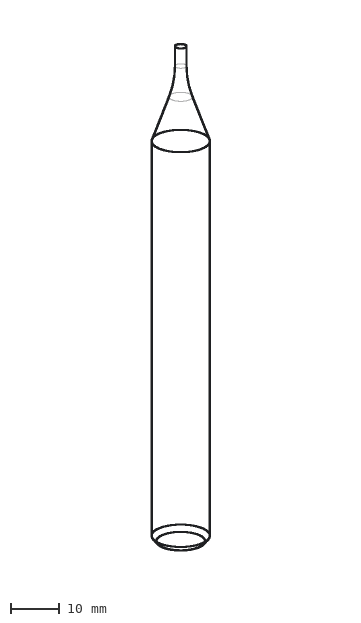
import cadquery as cq
import math

total_length = 110.0
shank_diameter = 12.0
tip_diameter = 2.4
tip_length = 4.4
neck_arc_radius = 20.0
cone_half_angle = math.radians(20)
chamfer_height = 1.2
chamfer_inset = 1.0

shank_radius = shank_diameter / 2
tip_radius = tip_diameter / 2


def neck_arc_point(angle):
    """Radius and height on the concave neck after turning by angle from the tip wall."""
    radius = tip_radius + neck_arc_radius * (1 - math.cos(angle))
    height = total_length - tip_length - neck_arc_radius * math.sin(angle)
    return radius, height


neck_top = neck_arc_point(0)
neck_middle = neck_arc_point(cone_half_angle / 2)
neck_bottom = neck_arc_point(cone_half_angle)
cone_height = (shank_radius - neck_bottom[0]) / math.tan(cone_half_angle)
shank_top = neck_bottom[1] - cone_height

half_profile = (
    cq.Workplane("XZ")
    .lineTo(shank_radius - chamfer_inset, 0)
    .lineTo(shank_radius, chamfer_height)
    .lineTo(shank_radius, shank_top)
    .lineTo(*neck_bottom)
    .threePointArc(neck_middle, neck_top)
    .lineTo(tip_radius, total_length)
    .lineTo(0, total_length)
    .close()
)
result = half_profile.revolve(360, (0, 0), (0, 1))